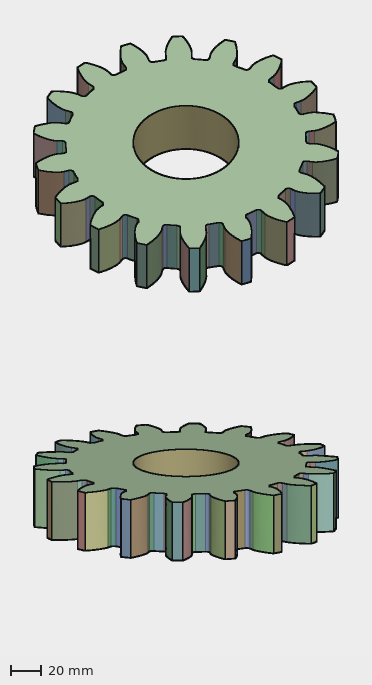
import cadquery as cq
import math

teeth = 18
module = 10.2
pressure_angle = math.radians(20)
thickness = 40.0
bore_diameter = 70.0
root_radius = 79.8
root_fillet = 2.5
flank_steps = 8

pitch_radius = module * teeth / 2
tip_radius = pitch_radius + module
base_radius = pitch_radius * math.cos(pressure_angle)


def involute_angle(angle):
    """Polar angle swept by an involute where its pressure angle is the given one."""
    return math.tan(angle) - angle


tooth_pitch = 2 * math.pi / teeth
base_half_angle = tooth_pitch / 4 + involute_angle(pressure_angle)


def polar(radius, angle):
    return (radius * math.cos(angle), radius * math.sin(angle))


def flank_half_angle(radius):
    return base_half_angle - involute_angle(math.acos(base_radius / radius))


def flank_points(center_angle, side):
    """Involute points from base circle to tip; side is -1 or +1 of the tooth centre."""
    points = []
    for step in range(flank_steps + 1):
        radius = base_radius + (tip_radius - base_radius) * step / flank_steps
        points.append(polar(radius, center_angle + side * flank_half_angle(radius)))
    return points


def gear_outline():
    """Closed outline with an involute tooth centred on +X, running anticlockwise."""
    outline = cq.Workplane("XY").moveTo(*polar(root_radius, -base_half_angle))
    for tooth in range(teeth):
        center = tooth * tooth_pitch
        rising = flank_points(center, -1)
        falling = flank_points(center, 1)[::-1]
        outline = outline.lineTo(*rising[0])
        outline = outline.spline(rising[1:], includeCurrent=True)
        outline = outline.threePointArc(polar(tip_radius, center), falling[0])
        outline = outline.spline(falling[1:], includeCurrent=True)
        outline = outline.lineTo(*polar(root_radius, center + base_half_angle))
        next_root = polar(root_radius, center + tooth_pitch - base_half_angle)
        outline = outline.threePointArc(polar(root_radius, center + tooth_pitch / 2), next_root)
    return outline.close()


def root_corners(solid):
    """Upright edges where the tooth sides meet the root circle."""
    selection_radius = (root_radius + base_radius) / 2
    return [
        edge
        for edge in solid.edges("|Z").vals()
        if math.hypot(edge.Center().x, edge.Center().y) < selection_radius
    ]


gear = gear_outline().extrude(thickness)
gear = gear.newObject(root_corners(gear)).fillet(root_fillet)

bore = cq.Workplane("XY").circle(bore_diameter / 2).extrude(thickness)
result = gear.cut(bore)